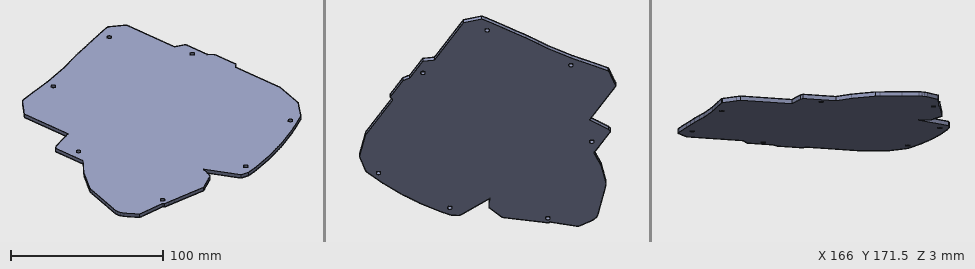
import cadquery as cq

width = 166.0
length = 171.5
thickness = 3.0
hole_diameter = 3.0

shoulder_y = 162.6
top_edge_y = 168.8
lower_left_y = 47.2
bottom_step_y = 30.0

left_top = (0, 151.3)
left_hollow = [
    (0.3, 136.0),
    (0.7, 128.3),
    (0.9, 119.9),
    (1.5, 110.3),
    (2.2, 102.6),
    (2.2, 84.5),
    (1.7, 77.4),
    (1.0, 68.0),
    (0.5, 58.7),
]
lower_left_edges = [
    (0.9, 57.6),
    (7.9, 49.7),
    (10.0, lower_left_y),
    (45.3, lower_left_y),
    (46.7, 32.3),
    (47.7, bottom_step_y),
    (70.2, bottom_step_y),
]

lobe_edges = [
    (77.9, 20.2),
    (91, 9.1),
    (93.8, 8.0),
    (107.5, 3.6),
    (118.0, 0.2),
    (120, 0),
    (122.0, 0.3),
    (124.4, 1.2),
    (133.3, 6.3),
    (139, 24.5),
    (140.2, 24.9),
    (141.2, 28.1),
    (142.7, 32.3),
    (150.6, 53.9),
    (147.0, 66.0),
    (144.6, 67.5),
    (139.3, 69.3),
]

notch_upper_edges = [(162.8, 79.0), (165.2, 84), (165.9, 91.3)]
right_bulge = [(width, 100.9), (163.1, 131.2), (158.0, 152.5)]

top_edges = [
    (148.4, shoulder_y),
    (129.2, top_edge_y),
    (92.8, top_edge_y),
    (91.5, length),
    (74.1, length),
    (70.0, top_edge_y),
    (52.5, top_edge_y),
    (47.9, shoulder_y),
    (9.0, shoulder_y),
    (0.2, 153.9),
]

hole_centers = [
    (61.8, 163.5),
    (7.4, 145.6),
    (8.0, 82.2),
    (62.0, 36.2),
    (136.5, 27.5),
    (159.9, 88.2),
    (155.3, 144.5),
]


def make_plate():
    """Extrude the outline, traced counterclockwise from the upper left."""
    outline = (
        cq.Workplane("XY")
        .moveTo(*left_top)
        .polyline(left_hollow, includeCurrent=True)
        .polyline(lower_left_edges, includeCurrent=True)
        .polyline(lobe_edges, includeCurrent=True)
        .polyline(notch_upper_edges, includeCurrent=True)
        .spline(right_bulge, includeCurrent=True)
        .polyline(top_edges, includeCurrent=True)
        .close()
    )
    return outline.extrude(thickness)


def drill_holes(plate):
    """Cut the screw holes through the plate."""
    return (
        plate.faces(">Z")
        .workplane(origin=(0, 0, thickness))
        .pushPoints(hole_centers)
        .hole(hole_diameter)
    )


result = drill_holes(make_plate())